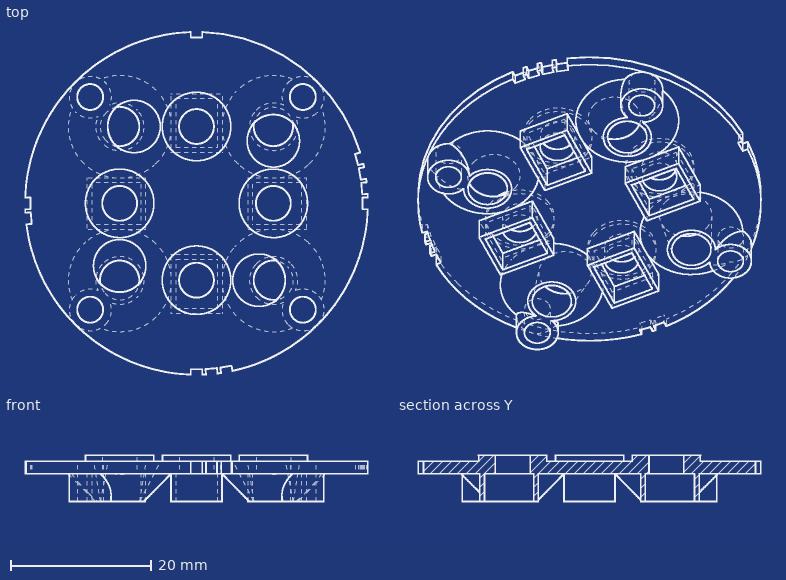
import cadquery as cq

plate_radius = 24.5
plate_thickness = 1.8
plate_top = plate_thickness
ring_height = 0.9
ring_top = plate_top + ring_height
under_depth = 3.95
bottom = -under_depth

grid_offset = 11.0

ring_diameter = 9.8
ring_bore_diameter = 4.95
socket_half_width = 3.68
socket_outward_extra = 1.05
socket_wall = 0.7

post_offset = 15.2
post_diameter = 6.0
post_hole_diameter = 3.68

cone_base_radius = 7.35
cone_tip_radius = 3.45
mouth_diameter = 7.5
mouth_shift = 2.05
outlet_diameter = 5.6

notch_width = 1.6
notch_floor_radius = 23.7
notch_pitch_angle = 5.1
first_notch_side_angle = 90.0

quarter_turns = [0, 90, 180, 270]
side_points = [(grid_offset, 0), (0, grid_offset), (-grid_offset, 0), (0, -grid_offset)]


def corner_points(offset):
    """Four points at (+-offset, +-offset)."""
    return [(sx * offset, sy * offset) for sx in (-1, 1) for sy in (-1, 1)]


def cylinders(points, diameter, z_low, z_high):
    """Vertical cylinders between two heights."""
    return (
        cq.Workplane("XY")
        .workplane(offset=z_low)
        .pushPoints(points)
        .circle(diameter / 2)
        .extrude(z_high - z_low)
    )


def spin(body, angle):
    """Turn a body about the plate axis."""
    return body.rotate((0, 0, 0), (0, 0, 1), angle)


def socket_block(half_width):
    """Block under the +X ring, reaching further outward than inward."""
    return (
        cq.Workplane("XY")
        .center(grid_offset + socket_outward_extra / 2, 0)
        .rect(2 * half_width + socket_outward_extra, 2 * half_width)
        .extrude(bottom)
    )


def funnel_cone():
    """Solid cone hanging under one quarter of the plate."""
    return (
        cq.Workplane("XY")
        .center(grid_offset, grid_offset)
        .circle(cone_base_radius)
        .workplane(offset=bottom)
        .circle(cone_tip_radius)
        .loft(ruled=True)
    )


def funnel_passage():
    """Leaning tapered passage, its mouth shifted sideways from its outlet."""
    return (
        cq.Workplane("XY")
        .workplane(offset=plate_top)
        .center(grid_offset, grid_offset - mouth_shift)
        .circle(mouth_diameter / 2)
        .workplane(offset=bottom - plate_top)
        .center(0, mouth_shift)
        .circle(outlet_diameter / 2)
        .loft(ruled=True)
    )


def rim_notch():
    """Cutter for one notch on the +X side of the rim."""
    notch_length = plate_radius
    return (
        cq.Workplane("XY")
        .center(notch_floor_radius + notch_length / 2, 0)
        .rect(notch_length, notch_width)
        .extrude(plate_thickness)
    )


plate = cq.Workplane("XY").circle(plate_radius).extrude(plate_thickness)
rings = cylinders(side_points, ring_diameter, plate_top, ring_top)
posts = cylinders(corner_points(post_offset), post_diameter, bottom, 0)

result = plate.union(rings).union(posts)
for turn in quarter_turns:
    result = result.union(spin(socket_block(socket_half_width), turn))
    result = result.union(spin(funnel_cone(), turn))
for turn in quarter_turns:
    result = result.cut(spin(socket_block(socket_half_width - socket_wall), turn))
    result = result.cut(spin(funnel_passage(), turn))

result = result.cut(cylinders(side_points, ring_bore_diameter, bottom, ring_top))
result = result.cut(cylinders(corner_points(post_offset), post_hole_diameter, bottom, plate_top))

for side, turn in enumerate(quarter_turns):
    for step in range(side + 1):
        angle = first_notch_side_angle + turn + step * notch_pitch_angle
        result = result.cut(spin(rim_notch(), angle))